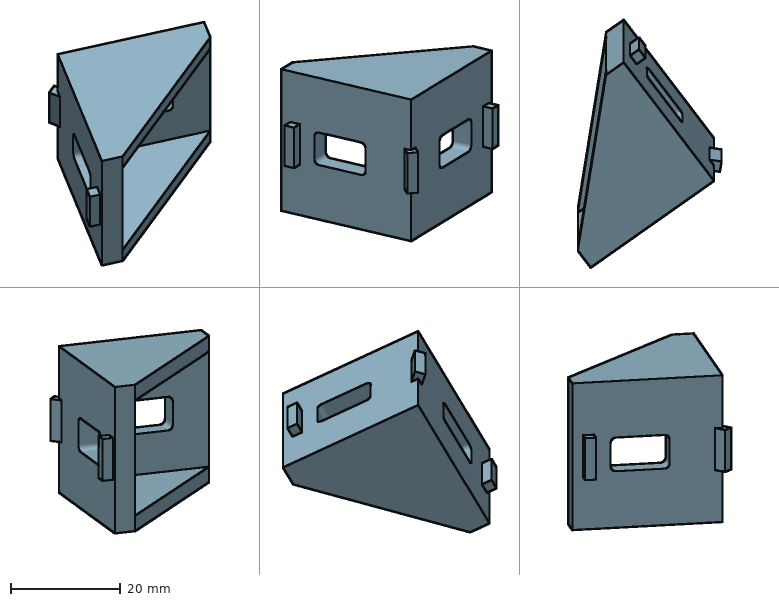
import cadquery as cq

leg = 28.0
height = 28.0
wall = 4.0
gusset = 3.0
mid_height = height / 2
corner_angle = 90.0
diagonal_angle = corner_angle / 2

window_length = 11.0
window_height = 6.4
window_radius = 1.0
window_center = 15.35

tab_width = 2.0
tab_height = 8.0
tab_projection = 2.0
x_tab_center = 26.0
y_tab_center = 25.0
corner_tab_reach = 1.25


def make_body():
    """Triangular block with blunt ends, hollow between the walls and gussets."""
    block = (
        cq.Workplane("XY")
        .polyline([(0, 0), (leg, 0), (leg, wall), (wall, leg), (0, leg)])
        .close()
        .extrude(height)
    )
    cavity = (
        cq.Workplane("XY")
        .box(leg, leg, height - 2 * gusset, centered=False)
        .translate((wall, wall, gusset))
    )
    return block.cut(cavity)


def make_window():
    """Rounded rectangular cutter through the wall that lies along X."""
    return (
        cq.Workplane("XY")
        .box(window_length, wall, window_height)
        .edges("|Y")
        .fillet(window_radius)
        .translate((window_center, wall / 2, mid_height))
    )


def make_end_tab(center):
    """Upright tab outside the wall along X, at the given distance from the corner."""
    return (
        cq.Workplane("XY")
        .box(tab_width, tab_projection, tab_height)
        .translate((center, -tab_projection / 2, mid_height))
    )


def make_corner_tab():
    """Upright tab pointing diagonally out of the corner edge."""
    root = tab_width / 2
    length = corner_tab_reach + root
    return (
        cq.Workplane("XY")
        .box(length, tab_width, tab_height)
        .translate((length / 2 - corner_tab_reach, 0, mid_height))
        .rotate((0, 0, 0), (0, 0, 1), diagonal_angle)
    )


def to_other_wall(shape):
    """Mirror a shape across the plane X = Y, from the wall along X to the wall along Y."""
    return shape.mirror("XZ").rotate((0, 0, 0), (0, 0, 1), corner_angle)


window = make_window()
result = make_body()
result = result.cut(window)
result = result.cut(to_other_wall(window))
result = result.union(make_end_tab(x_tab_center))
result = result.union(to_other_wall(make_end_tab(y_tab_center)))
result = result.union(make_corner_tab())